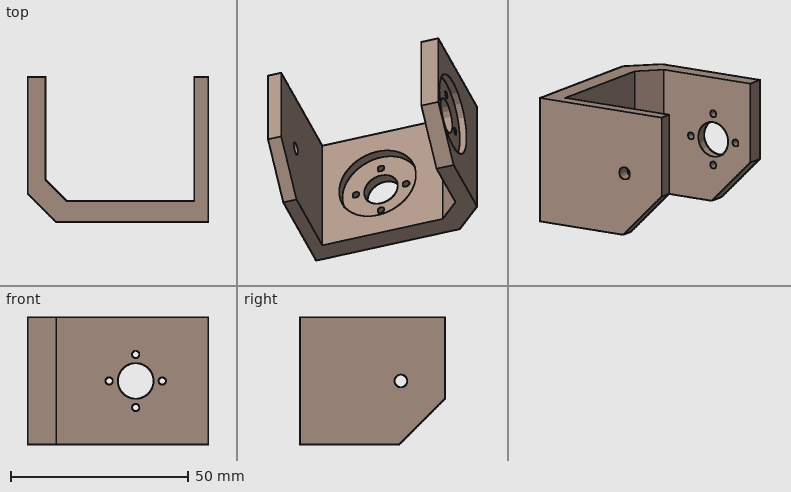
import cadquery as cq

length = 51.0
depth = 41.0
height = 36.0

left_wall = 5.1
right_wall = 4.0
front_wall = 6.0

corner_bevel = 8.0
inner_bevel = 5.9
arm_bevel = 13.0

bore_diameter = 10.0
screw_diameter = 2.0
screw_circle_radius = 7.5
pivot_diameter = 3.5
recess_diameter = 23.0
arm_recess_depth = 2.0
front_recess_depth = 2.85

front_bore_x = 30.5
arm_bore_y = 28.5
mid_height = height / 2


def bracket_body():
    """Extrude the U outline with its bevelled left front corner."""
    inner_right = length - right_wall
    outline = [
        (corner_bevel, 0),
        (length, 0),
        (length, depth),
        (inner_right, depth),
        (inner_right, front_wall),
        (left_wall + inner_bevel, front_wall),
        (left_wall, front_wall + inner_bevel),
        (left_wall, depth),
        (0, depth),
        (0, corner_bevel),
    ]
    return cq.Workplane("XY").polyline(outline).close().extrude(height)


def arm_bevel_cut():
    """Triangular prism that removes the lower rear corner of both arms."""
    corner = [(depth - arm_bevel, 0), (depth, 0), (depth, arm_bevel)]
    return cq.Workplane("YZ").polyline(corner).close().extrude(length)


def bore_with_screws(plane, thickness):
    """Central bore with four screw holes around it, cut from plane inward."""
    bore = plane.circle(bore_diameter / 2).extrude(thickness)
    screws = (
        plane.polarArray(screw_circle_radius, 0, 360, 4)
        .circle(screw_diameter / 2)
        .extrude(thickness)
    )
    return bore.union(screws)


front_plane = cq.Plane((front_bore_x, 0, mid_height), (1, 0, 0), (0, 1, 0))
front_face = cq.Workplane(front_plane)
left_face = cq.Workplane("YZ", origin=(0, arm_bore_y, mid_height))
right_inner_face = left_face.workplane(offset=length - right_wall)
front_recess_floor = front_face.workplane(offset=front_wall - front_recess_depth)

arm_recess = left_face.circle(recess_diameter / 2).extrude(arm_recess_depth)
front_recess = front_recess_floor.circle(recess_diameter / 2).extrude(front_recess_depth)
pivot_hole = right_inner_face.circle(pivot_diameter / 2).extrude(right_wall)

result = (
    bracket_body()
    .cut(arm_bevel_cut())
    .cut(bore_with_screws(front_face, front_wall))
    .cut(bore_with_screws(left_face, left_wall))
    .cut(arm_recess)
    .cut(front_recess)
    .cut(pivot_hole)
)